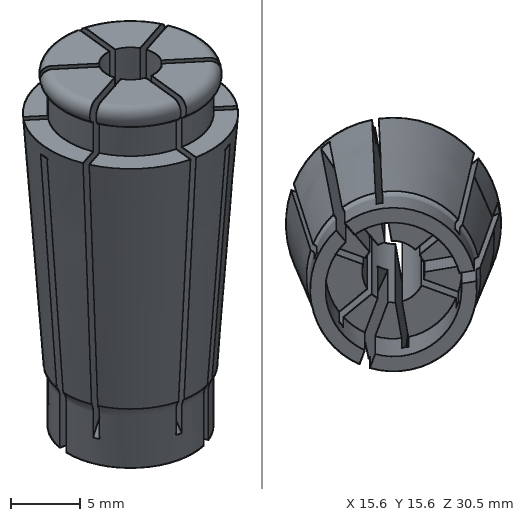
import cadquery as cq
import math

total_height = 30.5

tail_radius = 6.0
tail_wall_height = 4.4
taper_bottom_height = 5.15
taper_bottom_radius = 6.28
shoulder_height = 26.32
shoulder_radius = 7.78

bead_radius = 0.88
bead_center_radius = 5.7
bead_center_height = total_height - bead_radius
collar_radius = tail_radius

bore_radius = 2.25
counterbore_radius = 4.9
counterbore_depth = 7.1

nose_slot_count = 6
nose_slot_width = 0.5
nose_slot_floor_height = 2.2
nose_slot_first_angle = 30.0
tail_slot_count = 3
tail_slot_width = 0.8
tail_slot_roof_height = 25.47
tail_slot_first_angle = 0.0

margin = 1.52


def make_body():
    """Solid of revolution, with an arc blending the tail wall into the taper."""
    collar_top_height = bead_center_height - math.sqrt(
        bead_radius**2 - (collar_radius - bead_center_radius) ** 2
    )
    profile = (
        cq.Workplane("XZ")
        .lineTo(tail_radius, 0)
        .lineTo(tail_radius, tail_wall_height)
        .tangentArcPoint((taper_bottom_radius, taper_bottom_height), relative=False)
        .lineTo(shoulder_radius, shoulder_height)
        .lineTo(collar_radius, shoulder_height)
        .lineTo(collar_radius, collar_top_height)
        .threePointArc(
            (bead_center_radius + bead_radius, bead_center_height),
            (bead_center_radius, total_height),
        )
        .lineTo(0, total_height)
        .close()
    )
    return profile.revolve(360, (0, 0), (0, 1))


def make_bore():
    """Through bore, widened at the tail."""
    bore = cq.Workplane("XY").circle(bore_radius).extrude(total_height)
    counterbore = cq.Workplane("XY").circle(counterbore_radius).extrude(counterbore_depth)
    return bore.union(counterbore)


def make_radial_slots(outline, width, count, first_angle):
    """Repeat a slot, given its outline in the radius-height plane, around the axis."""
    slot = cq.Workplane("XZ").polyline(outline).close().extrude(width / 2, both=True)
    slots = cq.Workplane("XY")
    for index in range(count):
        angle = first_angle + index * 360 / count
        slots = slots.union(slot.rotate((0, 0, 0), (0, 0, 1), angle))
    return slots


def make_nose_slots():
    """Slots open at the nose, with floors falling outward."""
    reach = shoulder_radius + margin
    top = total_height + margin
    outline = [
        (0, nose_slot_floor_height + tail_radius),
        (reach, nose_slot_floor_height + tail_radius - reach),
        (reach, top),
        (0, top),
    ]
    return make_radial_slots(outline, nose_slot_width, nose_slot_count, nose_slot_first_angle)


def make_tail_slots():
    """Slots open at the tail, with roofs rising outward."""
    reach = shoulder_radius
    outline = [
        (0, -margin),
        (reach, -margin),
        (reach, tail_slot_roof_height),
        (0, tail_slot_roof_height - reach),
    ]
    return make_radial_slots(outline, tail_slot_width, tail_slot_count, tail_slot_first_angle)


result = make_body().cut(make_bore()).cut(make_nose_slots()).cut(make_tail_slots())